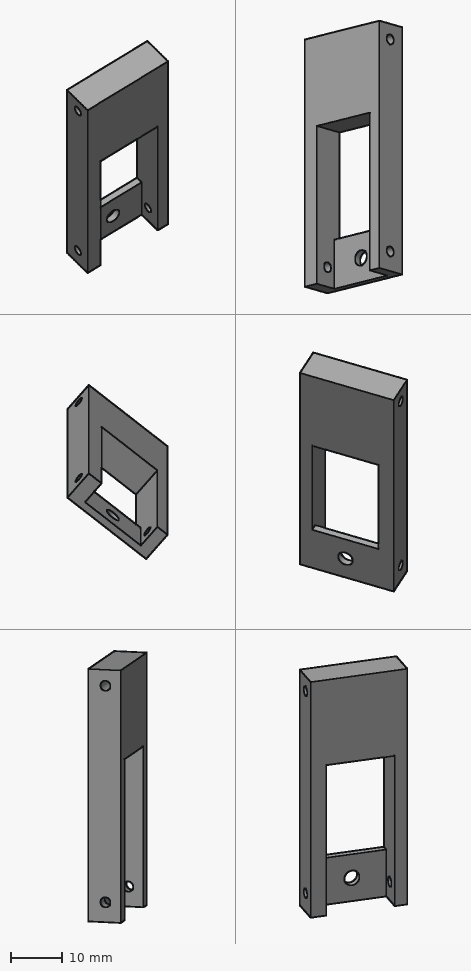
import cadquery as cq

THICKNESS = 6.56
WIDTH = 20.0
HEIGHT = 50.16

WINDOW_WIDTH = 14.15
WINDOW_HEIGHT = 22.0
WINDOW_SIDE_MARGIN = 2.6
WINDOW_BOTTOM_MARGIN = 10.0

FRONT_PLATE = 1.5

FACE_HOLE_DIAMETER = 3.1
FACE_HOLE_Y = 0.3
FACE_HOLE_HEIGHT = 4.95

CROSS_HOLE_DIAMETER = 2.0
CROSS_HOLE_X = 0.2
CROSS_HOLE_SPACING = 43.0
CROSS_HOLE_MID_Z = 0.4

BOTTOM_Z = -HEIGHT / 2
WINDOW_CENTER_Y = WIDTH / 2 - WINDOW_SIDE_MARGIN - WINDOW_WIDTH / 2


def window():
    """Cutter for the rectangular window."""
    center_z = BOTTOM_Z + WINDOW_BOTTOM_MARGIN + WINDOW_HEIGHT / 2
    cutter = cq.Workplane("XY").box(THICKNESS, WINDOW_WIDTH, WINDOW_HEIGHT)
    return cutter.translate((0, WINDOW_CENTER_Y, center_z))


def pocket():
    """Cutter for the pocket behind the front plate, from the bottom face up to the window top."""
    depth = THICKNESS - FRONT_PLATE
    height = WINDOW_BOTTOM_MARGIN + WINDOW_HEIGHT
    center_z = BOTTOM_Z + height / 2
    cutter = cq.Workplane("XY").box(depth, WINDOW_WIDTH, height)
    return cutter.translate((FRONT_PLATE / 2, WINDOW_CENTER_Y, center_z))


def face_hole():
    """Cutter for the round hole along X."""
    return (
        cq.Workplane("YZ", origin=(-THICKNESS / 2, 0, 0))
        .center(FACE_HOLE_Y, BOTTOM_Z + FACE_HOLE_HEIGHT)
        .circle(FACE_HOLE_DIAMETER / 2)
        .extrude(THICKNESS)
    )


def cross_hole(z):
    """Cutter for one hole along Y at height z."""
    return (
        cq.Workplane("XZ", origin=(0, WIDTH / 2, 0))
        .center(CROSS_HOLE_X, z)
        .circle(CROSS_HOLE_DIAMETER / 2)
        .extrude(WIDTH)
    )


body = cq.Workplane("XY").box(THICKNESS, WIDTH, HEIGHT)
body = body.cut(window()).cut(pocket()).cut(face_hole())
for side in (-1, 1):
    body = body.cut(cross_hole(CROSS_HOLE_MID_Z + side * CROSS_HOLE_SPACING / 2))

result = body